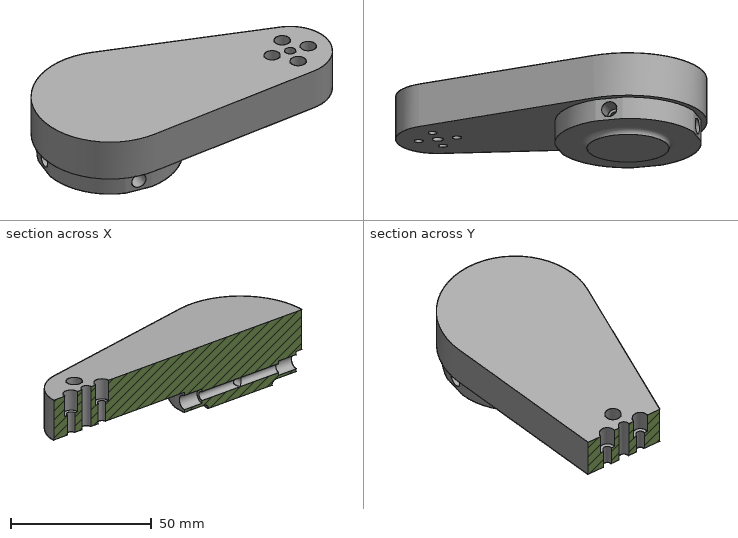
import cadquery as cq
import math

arm_length = 112.9
large_radius = 28.0
small_radius = 15.0
arm_thickness = 16.0
end_spacing = arm_length - large_radius - small_radius

hub_radius = 26.0
hub_height = 8.0
flat_width = 10.0
flat_distance = math.sqrt(hub_radius**2 - (flat_width / 2) ** 2)

boss_radius = 14.6
boss_height = 1.9

center_hole_diameter = 4.0
screw_hole_diameter = 3.2
screw_counterbore_diameter = 5.8
screw_counterbore_depth = 8.0
screw_circle_radius = 7.0

side_hole_diameter = 3.4
side_counterbore_diameter = 5.5
side_counterbore_depth = 8.0

hub_bottom = boss_height
arm_bottom = hub_bottom + hub_height
side_hole_height = hub_bottom + hub_height / 2


def make_arm():
    """Two round ends joined by their common tangents."""
    tangent_sine = (large_radius - small_radius) / end_spacing
    tangent_cosine = math.sqrt(1 - tangent_sine**2)
    large_x = large_radius * tangent_cosine
    large_y = large_radius * tangent_sine
    small_x = small_radius * tangent_cosine
    small_y = end_spacing + small_radius * tangent_sine
    return (
        cq.Workplane("XY", origin=(0, 0, arm_bottom))
        .moveTo(large_x, large_y)
        .lineTo(small_x, small_y)
        .threePointArc((0, end_spacing + small_radius), (-small_x, small_y))
        .lineTo(-large_x, large_y)
        .threePointArc((0, -large_radius), (large_x, large_y))
        .close()
        .extrude(arm_thickness)
    )


def make_hub():
    """Disc trimmed to a square so that each side carries a short flat."""
    disc = cq.Workplane("XY", origin=(0, 0, hub_bottom)).circle(hub_radius).extrude(hub_height)
    square = (
        cq.Workplane("XY", origin=(0, 0, hub_bottom))
        .rect(2 * flat_distance, 2 * flat_distance)
        .extrude(hub_height)
    )
    return disc.intersect(square)


def make_boss():
    """Revolved boss whose wall flares out into the hub."""
    arc_offset = boss_height * (1 - math.sqrt(0.5))
    arc_middle = (boss_radius + arc_offset, boss_height - arc_offset)
    return (
        cq.Workplane("XZ")
        .lineTo(boss_radius, 0)
        .threePointArc(arc_middle, (boss_radius + boss_height, boss_height))
        .lineTo(0, boss_height)
        .close()
        .revolve(360, (0, 0, 0), (0, 1, 0))
    )


def cut_screw_pattern(body):
    """Center hole and four counterbored holes around it, open at the top."""
    top = cq.Workplane("XY", origin=(0, end_spacing, arm_bottom + arm_thickness))
    center_hole = top.circle(center_hole_diameter / 2).extrude(-arm_thickness)
    screws = top.polarArray(screw_circle_radius, 0, 360, 4)
    screw_holes = screws.circle(screw_hole_diameter / 2).extrude(-arm_thickness)
    counterbores = screws.circle(screw_counterbore_diameter / 2).extrude(-screw_counterbore_depth)
    return body.cut(center_hole).cut(screw_holes).cut(counterbores)


def cut_side_holes(body):
    """Counterbored radial hole through the hub from each flat."""
    face = cq.Workplane("XZ", origin=(0, -flat_distance, side_hole_height))
    hole = face.circle(side_hole_diameter / 2).extrude(-2 * flat_distance)
    counterbore = face.circle(side_counterbore_diameter / 2).extrude(-side_counterbore_depth)
    cutter = hole.union(counterbore)
    for angle in (0, 90, 180, 270):
        body = body.cut(cutter.rotate((0, 0, 0), (0, 0, 1), angle))
    return body


result = make_arm().union(make_hub()).union(make_boss())
result = cut_screw_pattern(result)
result = cut_side_holes(result)